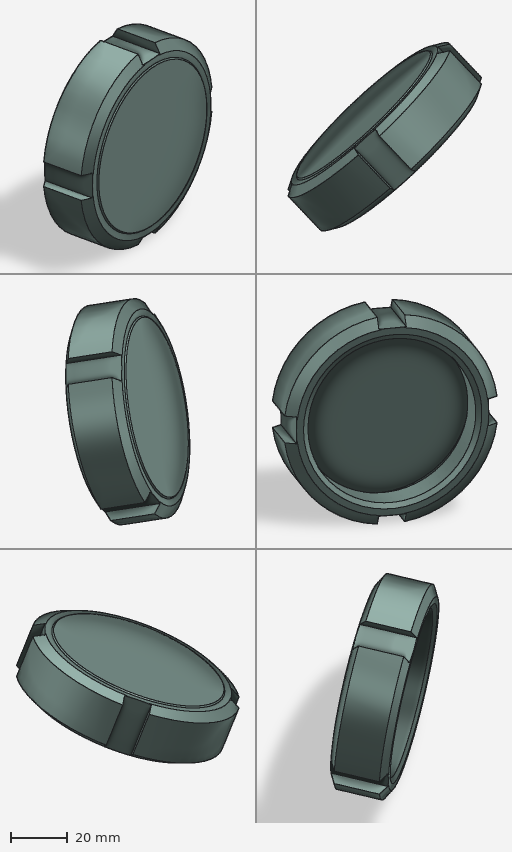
import cadquery as cq
import math

body_diameter = 78.0
body_length = 21.0
face_diameter = 70.0
chamfer_angle = 30.0
chamfer_length = (body_diameter - face_diameter) / 2 * math.tan(math.radians(chamfer_angle))

overall_length = 21.5
disc_diameter = 65.0
disc_height = overall_length - body_length
disc_top_diameter = disc_diameter - 2 * disc_height

bore_diameter = 61.19
bore_depth = 18.0
lead_in_diameter = 65.0
lead_in_angle = 30.0
lead_in_length = (lead_in_diameter - bore_diameter) / 2 * math.tan(math.radians(lead_in_angle))
groove_diameter = 65.8
groove_width = 6.3

slot_count = 4
slot_width = 10.0
slot_floor_radius = 35.0


def make_body():
    """Chamfered disc with the raised disc on its closed face, as one revolved profile."""
    body_radius = body_diameter / 2
    face_radius = face_diameter / 2
    profile = (
        cq.Workplane("XY")
        .moveTo(0, 0)
        .lineTo(0, face_radius)
        .lineTo(chamfer_length, body_radius)
        .lineTo(body_length - chamfer_length, body_radius)
        .lineTo(body_length, face_radius)
        .lineTo(body_length, disc_diameter / 2)
        .lineTo(overall_length, disc_top_diameter / 2)
        .lineTo(overall_length, 0)
        .close()
    )
    return profile.revolve(360, (0, 0, 0), (1, 0, 0))


def make_bore():
    """Space inside the cap: lead-in cone, bore and relief groove."""
    bore_radius = bore_diameter / 2
    groove_start = bore_depth - groove_width
    profile = (
        cq.Workplane("XY")
        .moveTo(0, 0)
        .lineTo(0, lead_in_diameter / 2)
        .lineTo(lead_in_length, bore_radius)
        .lineTo(groove_start, bore_radius)
        .lineTo(groove_start, groove_diameter / 2)
        .lineTo(bore_depth, groove_diameter / 2)
        .lineTo(bore_depth, 0)
        .close()
    )
    return profile.revolve(360, (0, 0, 0), (1, 0, 0))


def make_slot(angle):
    """Flat-floored cutter for one spanner slot, turned about the X axis."""
    cutter_height = body_diameter / 2 - slot_floor_radius
    slot = cq.Workplane("XY").box(
        overall_length, slot_width, cutter_height, centered=(False, True, False)
    )
    return slot.translate((0, 0, slot_floor_radius)).rotate((0, 0, 0), (1, 0, 0), angle)


result = make_body().cut(make_bore())
for index in range(slot_count):
    result = result.cut(make_slot(index * 360 / slot_count))